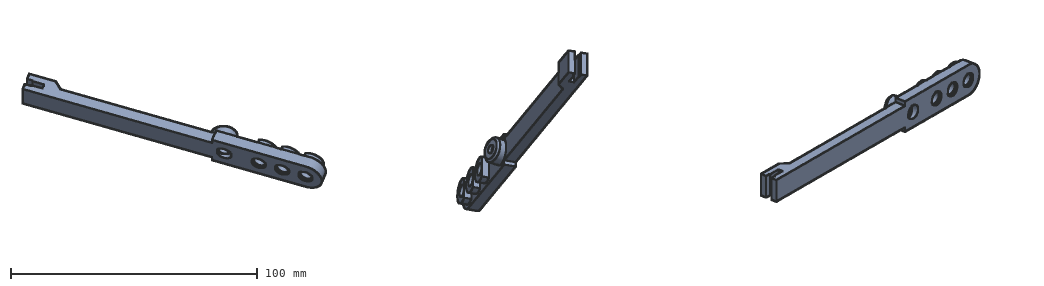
import cadquery as cq
import math

length = 128.5
thickness = 5.0
bar_height = 10.0
head_height = 14.0
head_start = 81.3
end_arc_start = 122.3

step_height = 3.1
tip_length = 11.5
slot_depth = 7.5
slot_width = 2.0
slot_floor_y = 3.0
mouth_depth = 2.5
mouth_relief = 0.32

boss_diameter = 10.5
boss_flat_distance = 2.7
last_hole_x = 121.4
hole_pitch = 10.0
boss_count = 3
bore_diameter = 5.1
counterbore_diameter = 6.0
counterbore_depth = 1.0

tilt = 15.0
tilted_diameter = 10.5
tilted_height = 5.4
tilted_chamfer = 1.0
tilted_boss_x = 84.5
tilted_bore_x = 85.2
tilted_tip_bore_diameter = 3.5
tilted_tip_bore_depth = 1.5
tilted_counterbore_floor = 3.3


def make_bar():
    """Bar with a thickened tip that slopes down at 45 degrees to the bar."""
    tip_top = thickness + step_height
    outline = [
        (0, 0),
        (head_start, 0),
        (head_start, thickness),
        (tip_length + step_height, thickness),
        (tip_length, tip_top),
        (0, tip_top),
    ]
    return cq.Workplane("XY").polyline(outline).close().extrude(bar_height / 2, both=True)


def make_slot():
    """Open slot in the tip, slightly wider at its mouth."""
    slot = cq.Workplane("XY").box(slot_depth, slot_width, bar_height, centered=(False, False, True))
    mouth_width = slot_width + 2 * mouth_relief
    mouth = cq.Workplane("XY").box(mouth_depth, mouth_width, bar_height, centered=(False, False, True))
    return slot.union(mouth.translate((0, -mouth_relief, 0))).translate((0, slot_floor_y, 0))


def make_head():
    """Wide plate with an arc-shaped end."""
    half = head_height / 2
    return (
        cq.Workplane("XZ")
        .moveTo(head_start, -half)
        .lineTo(end_arc_start, -half)
        .threePointArc((length, 0), (end_arc_start, half))
        .lineTo(head_start, half)
        .close()
        .extrude(-thickness)
    )


def y_cylinder(x, diameter, start_y, end_y):
    """Cylinder along Y on the centre line of the plate."""
    return cq.Workplane("XZ", origin=(x, start_y, 0)).circle(diameter / 2).extrude(start_y - end_y)


def make_boss(hole_x):
    """Boss behind the plate, concentric with its hole and cut flat on the -X side."""
    boss_top = thickness + step_height
    boss = y_cylinder(hole_x, boss_diameter, thickness, boss_top)
    keep = cq.Workplane("XY").box(
        boss_diameter, step_height, boss_diameter, centered=(False, False, True)
    )
    return boss.intersect(keep.translate((hole_x - boss_flat_distance, thickness, 0)))


def tilted_cylinder(base_x, diameter, start, end):
    """Cylinder on an axis tilted toward -X; distances run from the back face of the plate."""
    angle = math.radians(tilt)
    axis = cq.Vector(-math.sin(angle), math.cos(angle), 0)
    base = cq.Vector(base_x, thickness, 0)
    plane = cq.Plane(origin=base + axis * start, xDir=(0, 0, 1), normal=axis)
    return cq.Workplane(plane).circle(diameter / 2).extrude(end - start)


part = make_bar().cut(make_slot()).union(make_head())

root_depth = tilted_diameter * math.tan(math.radians(tilt))
tilted_boss = tilted_cylinder(tilted_boss_x, tilted_diameter, -root_depth, tilted_height)
tilted_boss = tilted_boss.faces(">Y").chamfer(tilted_chamfer)
part = part.union(tilted_boss)

bore_start = -2 * thickness
tip_bore_start = tilted_height - tilted_tip_bore_depth
part = part.cut(tilted_cylinder(tilted_bore_x, counterbore_diameter, bore_start, -tilted_counterbore_floor))
part = part.cut(tilted_cylinder(tilted_bore_x, bore_diameter, bore_start, tip_bore_start))
part = part.cut(tilted_cylinder(tilted_boss_x, tilted_tip_bore_diameter, 0, 2 * tilted_height))

for index in range(boss_count):
    hole_x = last_hole_x - index * hole_pitch
    part = part.union(make_boss(hole_x))
    part = part.cut(y_cylinder(hole_x, bore_diameter, 0, thickness + step_height))
    part = part.cut(y_cylinder(hole_x, counterbore_diameter, 0, counterbore_depth))

result = part